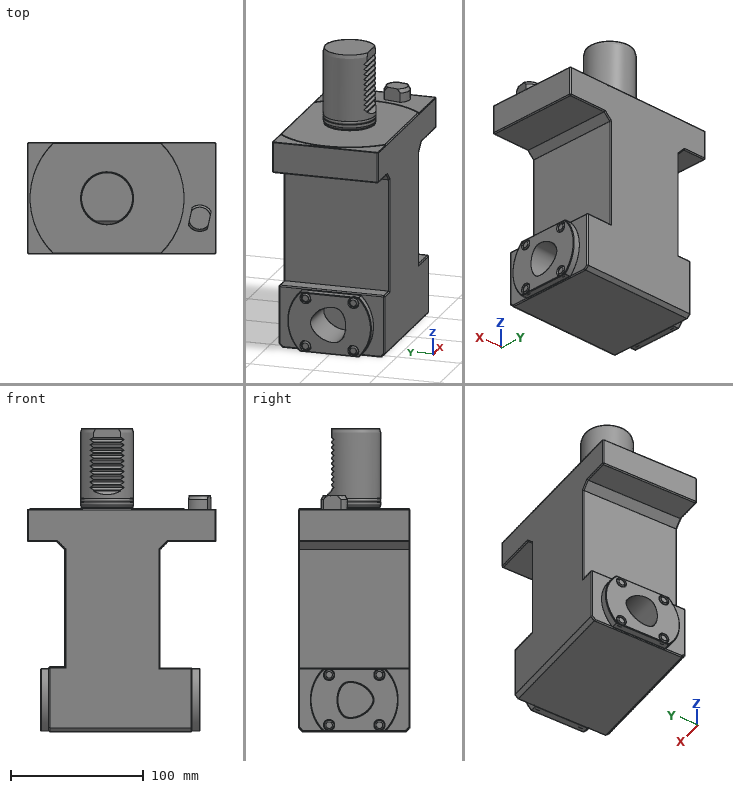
import cadquery as cq
import math

TOTAL_HEIGHT = 228.0
BODY_WIDTH = 84.0
EDGE_CHAMFER = 1.0
TOLERANCE = 0.02

PLATE_LEFT = -60.0
PLATE_RIGHT = 82.0
PLATE_BOTTOM = 143.0
SEAT_Z = 167.8
SEAT_RADIUS = 58.0
SEAT_STEP = 0.5

COLUMN_LEFT = -32.0
COLUMN_RIGHT = 40.0
CORNER_SLOPE = 6.0

BLOCK_LEFT = -44.0
BLOCK_RIGHT = 64.0
LEFT_LEDGE_Z = 49.0
RIGHT_LEDGE_Z = 48.0
BOTTOM_CHAMFER = 3.0
BLOCK_CENTER_X = (BLOCK_LEFT + BLOCK_RIGHT) / 2

COUPLING_Z = 24.0
FLANGE_RADIUS = 33.0
FLANGE_HEIGHT = 47.0
FLANGE_THICKNESS = 6.0
FLANGE_CHAMFER = 0.57

SOCKET_MEAN_RADIUS = 14.0
SOCKET_LOBE = 1.0
LOBE_COUNT = 3
SOCKET_DEPTH = 30.0
SOCKET_TAPER = 1 / 40
SOCKET_POINTS = 36

SCREW_OFFSET = 19.0
COUNTERBORE_DIAMETER = 8.5
SCREW_HEAD_DIAMETER = 7.3
SCREW_HEAD_CHAMFER = 1.1
COUNTERBORE_DEPTH = 3.0

SHANK_DIAMETER = 40.0
SHANK_TOP_CHAMFER_HEIGHT = 3.0
SHANK_TOP_CHAMFER_ANGLE = 15.0
NECK_DIAMETER = 39.0
NECK_TOP = 169.2
COLLAR_BOTTOM = 170.5
UNDERCUT_DIAMETER = 36.5
UNDERCUT_TOP = 168.5
SHANK_ROOT = 2.3

RING_SECTION = 2.5
RING_OUTER_DIAMETER = 40.0
RING_Z = 174.2
GROOVE_WIDTH = 2.7
RING_PATH_RADIUS = (RING_OUTER_DIAMETER - RING_SECTION) / 2
GROOVE_RADIUS = RING_PATH_RADIUS - RING_SECTION / 2

FLAT_OFFSET = 17.0
FLAT_BOTTOM = 181.3
TOOTH_COUNT = 10
TOOTH_DEPTH = 1.7
FIRST_ROOT_Z = 219.8
LAST_ROOT_Z = 183.8
TOOTH_PITCH = (FIRST_ROOT_Z - LAST_ROOT_Z) / (TOOTH_COUNT - 1)

PIN_X = 69.8
PIN_Y = -15.0
PIN_DIAMETER = 19.8
PIN_FLAT_WIDTH = 14.5
PIN_TOP = 177.5
PIN_CONE_HEIGHT = 3.0
PIN_CONE_INSET = 1.5
PIN_ROOT = 2.3


def make_body():
    """T-shaped body: plate, column with sloped corners, and block."""
    slope_z = PLATE_BOTTOM - CORNER_SLOPE
    outline = [
        (BLOCK_LEFT, 0),
        (BLOCK_RIGHT, 0),
        (BLOCK_RIGHT, RIGHT_LEDGE_Z),
        (COLUMN_RIGHT, RIGHT_LEDGE_Z),
        (COLUMN_RIGHT, slope_z),
        (COLUMN_RIGHT + CORNER_SLOPE, PLATE_BOTTOM),
        (PLATE_RIGHT, PLATE_BOTTOM),
        (PLATE_RIGHT, SEAT_Z),
        (PLATE_LEFT, SEAT_Z),
        (PLATE_LEFT, PLATE_BOTTOM),
        (COLUMN_LEFT - CORNER_SLOPE, PLATE_BOTTOM),
        (COLUMN_LEFT, slope_z),
        (COLUMN_LEFT, LEFT_LEDGE_Z),
        (BLOCK_LEFT, LEFT_LEDGE_Z),
    ]
    body = cq.Workplane("XZ").polyline(outline).close().extrude(BODY_WIDTH / 2, both=True)
    body = body.faces("<Z").edges("|X").chamfer(BOTTOM_CHAMFER)

    corner_columns = (PLATE_LEFT, PLATE_RIGHT, BLOCK_LEFT, BLOCK_RIGHT)

    def is_end_corner(edge):
        return any(abs(edge.Center().x - x) < TOLERANCE for x in corner_columns)

    def is_above_bottom_chamfer(edge):
        return edge.Center().z > BOTTOM_CHAMFER + TOLERANCE

    face_edges = body.faces("<Y or >Y").edges().filter(is_above_bottom_chamfer)
    corner_edges = body.edges().filter(is_end_corner)
    return face_edges.add(corner_edges).chamfer(EDGE_CHAMFER)


def make_seat_relief():
    """Cutter that lowers the plate corners around the round contact seat."""
    length = PLATE_RIGHT - PLATE_LEFT
    relief = cq.Workplane("XY", origin=(0, 0, SEAT_Z - SEAT_STEP))
    relief = relief.rect(2 * length, 2 * length).circle(SEAT_RADIUS)
    return relief.extrude(2 * SEAT_STEP)


def make_shank():
    """Round shank with a lead-in at the top, a ring groove and a narrower neck."""
    radius = SHANK_DIAMETER / 2
    lead_in = SHANK_TOP_CHAMFER_HEIGHT * math.tan(math.radians(SHANK_TOP_CHAMFER_ANGLE))
    groove_bottom = RING_Z - GROOVE_WIDTH / 2
    groove_top = RING_Z + GROOVE_WIDTH / 2
    half_section = [
        (0, SEAT_Z - SHANK_ROOT),
        (UNDERCUT_DIAMETER / 2, SEAT_Z - SHANK_ROOT),
        (UNDERCUT_DIAMETER / 2, UNDERCUT_TOP),
        (NECK_DIAMETER / 2, UNDERCUT_TOP),
        (NECK_DIAMETER / 2, NECK_TOP),
        (radius, COLLAR_BOTTOM),
        (radius, groove_bottom),
        (GROOVE_RADIUS, groove_bottom),
        (GROOVE_RADIUS, groove_top),
        (radius, groove_top),
        (radius, TOTAL_HEIGHT - SHANK_TOP_CHAMFER_HEIGHT),
        (radius - lead_in, TOTAL_HEIGHT),
        (0, TOTAL_HEIGHT),
    ]
    shank = cq.Workplane("XZ").polyline(half_section).close()
    return shank.revolve(360, (0, 0, 0), (0, 1, 0)).cut(make_tooth_cutter())


def make_tooth_cutter():
    """Cutter for the flat, its 45 degree run-out and the row of 90 degree V grooves."""
    outside = -SHANK_DIAMETER
    above = 2 * TOTAL_HEIGHT
    run_out = -FLAT_OFFSET - outside
    flat_profile = [
        (-FLAT_OFFSET, above),
        (-FLAT_OFFSET, FLAT_BOTTOM),
        (outside, FLAT_BOTTOM - run_out),
        (outside, above),
    ]
    cutter = cq.Workplane("YZ").polyline(flat_profile).close().extrude(SHANK_DIAMETER, both=True)
    for index in range(TOOTH_COUNT):
        root_z = FIRST_ROOT_Z - index * TOOTH_PITCH
        groove_profile = [
            (-FLAT_OFFSET, root_z - TOOTH_DEPTH),
            (-FLAT_OFFSET + TOOTH_DEPTH, root_z),
            (-FLAT_OFFSET, root_z + TOOTH_DEPTH),
        ]
        groove = cq.Workplane("YZ").polyline(groove_profile).close()
        cutter = cutter.union(groove.extrude(SHANK_DIAMETER, both=True))
    return cutter


def make_pin():
    """Locating pin with a conical tip and two parallel flats."""
    radius = PIN_DIAMETER / 2
    base_z = SEAT_Z - SEAT_STEP - PIN_ROOT
    half_section = [
        (0, base_z),
        (radius, base_z),
        (radius, PIN_TOP - PIN_CONE_HEIGHT),
        (radius - PIN_CONE_INSET, PIN_TOP),
        (0, PIN_TOP),
    ]
    pin = cq.Workplane("XZ").polyline(half_section).close().revolve(360, (0, 0, 0), (0, 1, 0))
    flats = cq.Workplane("XY").box(PIN_FLAT_WIDTH, 2 * PIN_DIAMETER, 4 * TOTAL_HEIGHT)
    angle = math.degrees(math.atan2(PIN_Y, PIN_X))
    pin = pin.intersect(flats).rotate((0, 0, 0), (0, 0, 1), angle)
    return pin.translate((PIN_X, PIN_Y, 0))


def socket_outline(depth):
    """Three-lobed constant-width outline at the given depth, with one lobe toward +Y."""
    face_x = BLOCK_LEFT - FLANGE_THICKNESS
    mean_radius = SOCKET_MEAN_RADIUS - SOCKET_TAPER * depth
    points = []
    for index in range(SOCKET_POINTS):
        angle = 2 * math.pi * index / SOCKET_POINTS
        reach = mean_radius + SOCKET_LOBE * math.cos(LOBE_COUNT * angle)
        slope = -LOBE_COUNT * SOCKET_LOBE * math.sin(LOBE_COUNT * angle)
        toward_lobe = reach * math.cos(angle) - slope * math.sin(angle)
        sideways = reach * math.sin(angle) + slope * math.cos(angle)
        points.append(cq.Vector(face_x + depth, toward_lobe, COUPLING_Z + sideways))
    return cq.Wire.assembleEdges([cq.Edge.makeSpline(points, periodic=True)])


def make_socket():
    """Cutter for the tapered socket in the -X flange."""
    return cq.Workplane(cq.Solid.makeLoft([socket_outline(0), socket_outline(SOCKET_DEPTH)]))


def make_flange():
    """Round -X flange with flat top and bottom and a broken outer rim."""
    disc = cq.Workplane("YZ", origin=(BLOCK_LEFT, 0, COUPLING_Z))
    disc = disc.circle(FLANGE_RADIUS).extrude(-FLANGE_THICKNESS)
    slab = cq.Workplane("XY", origin=(BLOCK_LEFT, 0, COUPLING_Z))
    slab = slab.box(4 * FLANGE_THICKNESS, 4 * FLANGE_RADIUS, FLANGE_HEIGHT)
    return disc.intersect(slab).faces("<X").chamfer(FLANGE_CHAMFER)


def make_screw_reliefs():
    """Cutter for the four ring gaps around the flush screw heads, heads left standing."""
    face = cq.Workplane("YZ", origin=(BLOCK_LEFT - FLANGE_THICKNESS, 0, COUPLING_Z))
    centers = face.rect(2 * SCREW_OFFSET, 2 * SCREW_OFFSET, forConstruction=True).vertices()
    counterbores = centers.circle(COUNTERBORE_DIAMETER / 2).extrude(COUNTERBORE_DEPTH, combine=False)
    heads = centers.circle(SCREW_HEAD_DIAMETER / 2).extrude(COUNTERBORE_DEPTH, combine=False)
    return counterbores.cut(heads.faces("<X").chamfer(SCREW_HEAD_CHAMFER))


def mirror_to_far_end(shape):
    """Copy of a -X coupling feature at the +X end of the block."""
    return shape.mirror("YZ", (BLOCK_CENTER_X, 0, 0))


def make_holder():
    """Complete holder: body, shank, locating pin and the two coupling ends."""
    holder = make_body().cut(make_seat_relief()).union(make_shank()).union(make_pin())
    flange = make_flange()
    holder = holder.union(flange).union(mirror_to_far_end(flange))
    for cutter in (make_socket(), make_screw_reliefs()):
        holder = holder.cut(cutter).cut(mirror_to_far_end(cutter))
    return holder


def make_sealing_ring():
    """Round-section ring that rests on the floor of the shank groove."""
    return cq.Workplane(cq.Solid.makeTorus(RING_PATH_RADIUS, RING_SECTION / 2, cq.Vector(0, 0, RING_Z)))


holder = make_holder()
sealing_ring = make_sealing_ring()
result = cq.Compound.makeCompound([holder.solids().val(), sealing_ring.val()])